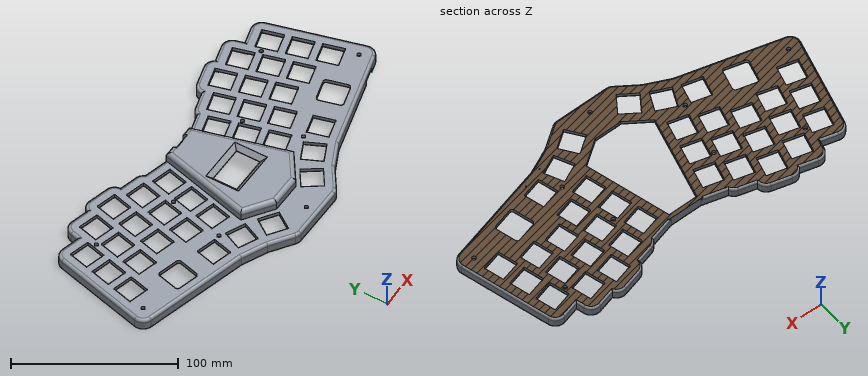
import cadquery as cq
import math

body_height = 7.5
total_height = 14.5
body_fillet = 2.0
hub_fillet = 3.0

tilt = 15.0
key_pitch = 19.0
key_size = 14.1
key_half = key_size / 2
rim = 7.0
wall = 3.0
ceiling = 2.5

column_1_r = -108.4
column_1_top_u = 10.0
column_stagger = [0.0, 12.5, 17.5, 12.5, 10.0]
rows = 3

encoder_size = 17.2
encoder_corner = 2.0
encoder_r = -79.6
encoder_u = -38.65

thumb_1_u = -39.6
thumb_step = 10.0
thumb_radius = 120.4
thumb_count = 3

front_y = -60.42
back_y = 38.3
hub_gap = 3.0
hub_front_y = -38.2

screen_width = 26.0
screen_depth = 16.5
screen_y = -3.2
screen_bevel = 3.2
screen_bevel_depth = screen_bevel

hole_diameter = 2.5
cluster_holes = [(-98.8, 12.3), (-41.7, 6.4), (-113.25, -44.2), (-40.4, -32.05)]
centre_hole_y = -52.3

cable_slot_r = -102.9
cable_slot_width = 11.0
cable_slot_height = 3.2
cable_slot_reach = wall + 1.0

port_width = 12.0
port_floor_z = body_height

column_r = [column_1_r + i * key_pitch for i in range(len(column_stagger))]
column_u = [column_1_top_u + s for s in column_stagger]
thumb_column = 3
thumb_1_r = column_r[thumb_column]


def turn(x, y, angle):
    """Rotate a point clockwise about the origin by `angle` degrees."""
    c = math.cos(math.radians(angle))
    s = math.sin(math.radians(angle))
    return (c * x + s * y, c * y - s * x)


def cluster(r, u):
    """Cluster coordinates to part coordinates."""
    return turn(r, u, tilt)


def meet(p, angle_p, q, angle_q):
    """Crossing of two lines, each given by a point and a direction in degrees clockwise from +X."""
    dx, dy = turn(1, 0, angle_p)
    ex, ey = turn(1, 0, angle_q)
    t = ((q[0] - p[0]) * ey - (q[1] - p[1]) * ex) / (dx * ey - dy * ex)
    return (p[0] + t * dx, p[1] + t * dy)


def thumb_keys():
    """Centre and tilt of each thumb key."""
    pivot = cluster(thumb_1_r, thumb_1_u - thumb_radius)
    keys = []
    for i in range(thumb_count):
        angle = tilt + i * thumb_step
        dx, dy = turn(0, thumb_radius, angle)
        keys.append((pivot[0] + dx, pivot[1] + dy, angle))
    return keys


def beside(key, distance):
    """Point at `distance` above a thumb key's centre, along the key's own upward direction."""
    dx, dy = turn(0, distance, key[2])
    return (key[0] + dx, key[1] + dy)


def mirrored(points):
    """Close a left-hand outline with its mirror image."""
    return points + [(-x, y) for x, y in reversed(points)]


def key_envelope():
    """Outline that runs along the outermost key openings."""
    keys = thumb_keys()
    fronts = [beside(k, -key_half) for k in keys]
    back = (0, back_y - rim)
    front = (0, front_y + rim)

    left = column_r[0] - key_half
    steps = [left]
    for i in range(1, len(column_r)):
        rising = column_u[i] > column_u[i - 1]
        steps.append(column_r[i] - key_half if rising else column_r[i - 1] + key_half)

    points = [meet(fronts[-1], keys[-1][2], front, 0)]
    for i in range(thumb_count - 1, 0, -1):
        points.append(meet(fronts[i], keys[i][2], fronts[i - 1], keys[i - 1][2]))
    points.append(cluster(left, thumb_1_u - key_half))
    for i, u in enumerate(column_u):
        top = u + key_half
        points.append(cluster(steps[i], top))
        if i + 1 < len(column_u):
            points.append(cluster(steps[i + 1], top))
    last_top = cluster(column_r[-1], column_u[-1] + key_half)
    points.append(meet(last_top, tilt, back, 0))
    return cq.Workplane("XY").polyline(mirrored(points)).close()


def hub_outline():
    """Corners of the raised hub between the clusters."""
    last_thumb = thumb_keys()[-1]
    side = cluster(column_r[-1] + key_half + hub_gap, 0)
    slant = beside(last_thumb, key_half + hub_gap)
    left = [
        meet(side, tilt - 90, (0, back_y), 0),
        meet(side, tilt - 90, slant, last_thumb[2]),
        meet(slant, last_thumb[2], (0, hub_front_y), 0),
    ]
    return cq.Workplane("XY").polyline(mirrored(left)).close()


def make_shell():
    """Body and hub joined, both hollow and open at the underside."""
    body = key_envelope().offset2D(rim).extrude(body_height).faces(">Z").edges().fillet(body_fillet)
    hub = hub_outline().extrude(total_height).faces(">Z").edges().fillet(hub_fillet)
    body_cavity = key_envelope().offset2D(rim - wall).extrude(body_height - ceiling)
    hub_cavity = hub_outline().offset2D(-wall).extrude(total_height - screen_bevel_depth)
    return body.union(hub).cut(body_cavity).cut(hub_cavity)


def square_cutter(x, y, size, angle):
    """Square prism centred on (x, y), turned clockwise by `angle` degrees."""
    prism = cq.Workplane("XY").rect(size, size).extrude(total_height)
    return prism.rotate((0, 0, 0), (0, 0, 1), -angle).translate((x, y, 0))


def screw_cutter(x, y):
    """Through hole for a screw."""
    return cq.Workplane("XY").center(x, y).circle(hole_diameter / 2).extrude(total_height)


def cluster_cutters():
    """Key, encoder and screw openings of the left-hand cluster."""
    cutters = []
    for r, top_u in zip(column_r, column_u):
        for row in range(rows):
            x, y = cluster(r, top_u - row * key_pitch)
            cutters.append(square_cutter(x, y, key_size, tilt))
    for x, y, angle in thumb_keys():
        cutters.append(square_cutter(x, y, key_size, angle))
    x, y = cluster(encoder_r, encoder_u)
    cutters.append(square_cutter(x, y, encoder_size, tilt).edges("|Z").fillet(encoder_corner))
    for r, u in cluster_holes:
        cutters.append(screw_cutter(*cluster(r, u)))
    return cutters


def screen_cutter():
    """Display window with sloping sides that widen towards the top."""
    window = cq.Workplane("XY").center(0, screen_y).rect(screen_width, screen_depth).extrude(total_height)
    bevel = (
        cq.Workplane("XY", origin=(0, screen_y, total_height - screen_bevel_depth))
        .rect(screen_width, screen_depth)
        .workplane(offset=screen_bevel_depth)
        .rect(screen_width + 2 * screen_bevel, screen_depth + 2 * screen_bevel)
        .loft(ruled=True)
    )
    return window.union(bevel)


def cable_slot_cutter():
    """Slot through the front wall of the right-hand cluster, open at the underside."""
    x, y = cluster(cable_slot_r, thumb_1_u - key_half - rim)
    slot = cq.Workplane("XY").box(
        cable_slot_width, 2 * cable_slot_reach, cable_slot_height, centered=(True, True, False)
    )
    return slot.rotate((0, 0, 0), (0, 0, 1), tilt).translate((-x, y, 0))


def port_cutter():
    """Notch through the back wall of the hub, open at the top."""
    height = total_height - port_floor_z
    notch = cq.Workplane("XY").box(port_width, 2 * wall, height, centered=(True, True, False))
    return notch.translate((0, back_y, port_floor_z))


result = make_shell()
for cutter in cluster_cutters():
    result = result.cut(cutter).cut(cutter.mirror("YZ"))
result = result.cut(screw_cutter(0, centre_hole_y))
result = result.cut(screen_cutter()).cut(cable_slot_cutter()).cut(port_cutter())